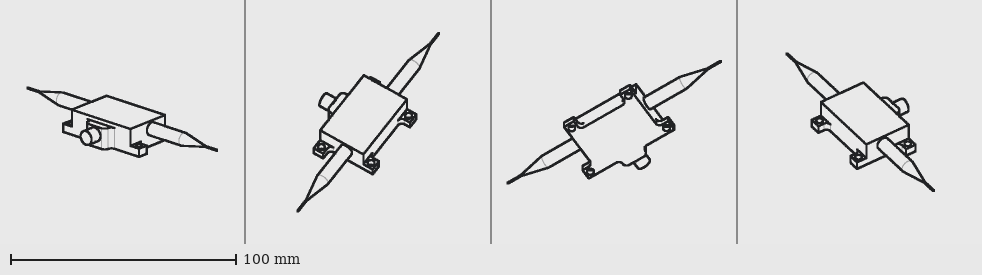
import cadquery as cq
import math

body_width = 35.0
body_depth = 23.0
body_height = 12.0

tab_height = 4.0
rear_tab_width = 5.2
rear_tab_reach = 5.0
side_tab_width = 5.1
side_tab_reach = 5.2
round_radius = 2.0
hole_diameter = 3.0
hole_edge_distance = 2.5

boss_height = 10.0
boss_half_width = 6.0
boss_reach = 2 * round_radius
pin_diameter = 6.5
pin_axis_height = 6.0
front_reach = 10.0

overall_length = 113.0
cable_diameter = 6.1
fibre_diameter = 0.5
cable_y = 14.0
cable_axis_height = 8.0
cone_start_x = 36.6
cone_end_x = 49.6

half_width = body_width / 2
arc_offset = round_radius * math.sqrt(0.5)


def make_rear_tab():
    """Right rear tab with a concave root blending into the rear wall."""
    inner_x = half_width - rear_tab_width
    rear_y = body_depth + rear_tab_reach
    arc_x = inner_x - round_radius
    arc_y = body_depth + round_radius
    return (
        cq.Workplane("XY")
        .moveTo(half_width, body_depth - round_radius)
        .lineTo(half_width, rear_y)
        .lineTo(inner_x, rear_y)
        .lineTo(inner_x, arc_y)
        .threePointArc((arc_x + arc_offset, arc_y - arc_offset), (arc_x, body_depth))
        .lineTo(arc_x, body_depth - round_radius)
        .close()
        .extrude(tab_height)
        .faces(">Z").workplane(origin=(half_width - hole_edge_distance, rear_y - hole_edge_distance))
        .hole(hole_diameter)
    )


def make_side_tab():
    """Right side tab, flush with the front, with a concave root on its rear edge."""
    outer_x = half_width + side_tab_reach
    arc_x = half_width + round_radius
    arc_y = side_tab_width + round_radius
    return (
        cq.Workplane("XY")
        .moveTo(half_width - round_radius, 0)
        .lineTo(outer_x, 0)
        .lineTo(outer_x, side_tab_width)
        .lineTo(arc_x, side_tab_width)
        .threePointArc((arc_x - arc_offset, arc_y - arc_offset), (half_width, arc_y))
        .lineTo(half_width - round_radius, arc_y)
        .close()
        .extrude(tab_height)
        .faces(">Z").workplane(origin=(outer_x - hole_edge_distance, hole_edge_distance))
        .hole(hole_diameter)
    )


def make_boss():
    """Front boss: concave flare at the housing, convex rounds at its front corners."""
    flare_x = boss_half_width + round_radius
    flat_x = boss_half_width - round_radius
    flare_mid = (flare_x - arc_offset, arc_offset - round_radius)
    round_mid = (flat_x + arc_offset, -round_radius - arc_offset)
    return (
        cq.Workplane("XY")
        .moveTo(-flare_x, round_radius)
        .lineTo(flare_x, round_radius)
        .lineTo(flare_x, 0)
        .threePointArc(flare_mid, (boss_half_width, -round_radius))
        .threePointArc(round_mid, (flat_x, -boss_reach))
        .lineTo(-flat_x, -boss_reach)
        .threePointArc((-round_mid[0], round_mid[1]), (-boss_half_width, -round_radius))
        .threePointArc((-flare_mid[0], flare_mid[1]), (-flare_x, 0))
        .close()
        .extrude(boss_height)
    )


def make_pin():
    """Round pin running from the housing front through the boss."""
    return (
        cq.Workplane("XZ")
        .center(0, pin_axis_height)
        .circle(pin_diameter / 2)
        .extrude(front_reach)
    )


def make_cables():
    """Straight sleeves, tapering cones and thin fibres on one axis along X."""
    end_x = overall_length / 2
    cable_radius = cable_diameter / 2
    fibre_radius = fibre_diameter / 2
    return (
        cq.Workplane("XY")
        .moveTo(-end_x, 0)
        .lineTo(-end_x, fibre_radius)
        .lineTo(-cone_end_x, fibre_radius)
        .lineTo(-cone_start_x, cable_radius)
        .lineTo(cone_start_x, cable_radius)
        .lineTo(cone_end_x, fibre_radius)
        .lineTo(end_x, fibre_radius)
        .lineTo(end_x, 0)
        .close()
        .revolve(360, (0, 0), (1, 0))
        .translate((0, cable_y, cable_axis_height))
    )


result = cq.Workplane("XY").box(
    body_width, body_depth, body_height, centered=(True, False, False)
)
for tab in (make_rear_tab(), make_side_tab()):
    result = result.union(tab).union(tab.mirror("YZ"))
for feature in (make_boss(), make_pin(), make_cables()):
    result = result.union(feature)